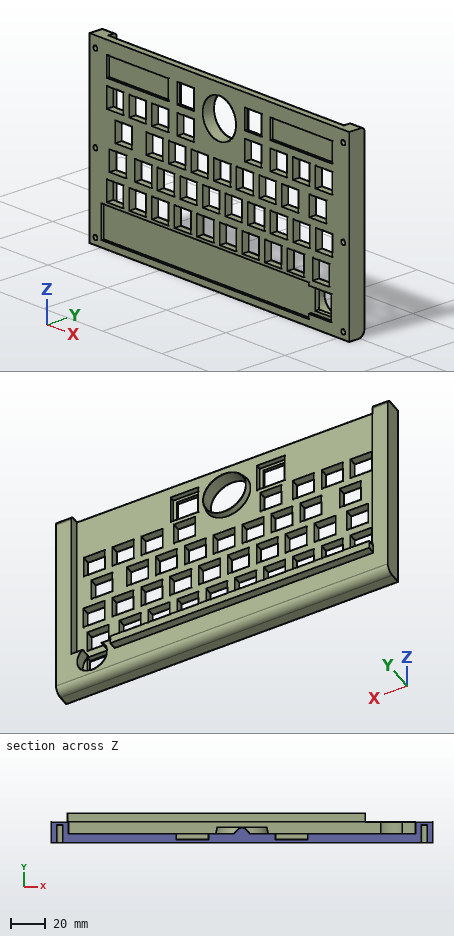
import cadquery as cq


CASE_WIDTH = 219.2
CASE_HEIGHT = 129.0
CASE_DEPTH = 12.0
TOP_ROUNDING = 2.6
BOTTOM_ROUNDING = 5.0

PLATE_THICKNESS = 5.3
SIDE_WALL = 10.0
POCKET_FLOOR_Z = 24.8

RIDGE_LEFT = -100.2
RIDGE_RIGHT = 70.8
RIDGE_BOTTOM = 17.0
RIDGE_HEIGHT = 5.3
RIDGE_PROJECTION = 5.0

KEY_PITCH = 19.0
KEY_SIZE = 14.0
WIDE_STEP = 21.5
BOTTOM_ROW_Z = 17.0
TOP_ROW = 5
OUTER_KEY_X = 88.1
LAST_KEY_X = 85.7
LONG_RUN = 9
ROW_2_LEFT_X = -85.7
ROW_3_LEFT_X = -81.0
ROW_3_RUN_START_X = -54.8
ROW_3_RUN = 7
ROW_3_RIGHT_X = 83.0

WINDOW_KEYS = 3
WINDOW_DEPTH = 2.0
TOP_KEY_SEAT = 2.0
TOP_KEY_RELIEF = 18.5

RECESS_DEPTH = 2.0
RECESS_LEFT = -99.5
RECESS_BOTTOM = 4.5
RECESS_TOP = 27.2
RECESS_STEP_X = 75.5
RECESS_END_BOTTOM = 8.0
RECESS_END_TOP = 25.2
RECESS_RIGHT = 94.5
LAST_KEY_RELIEF_DIAMETER = 19.7

BALL_Z = 106.8
BALL_HOLE_DIAMETER = 28.0
COLLAR_BASE_DIAMETER = 30.0
COLLAR_RIM_DIAMETER = 28.5
COLLAR_REAR = 9.0

SCREW_DIAMETER = 3.3
SCREW_DEPTH = 10.0
SCREW_X = 104.5
SCREW_HEIGHTS = (4.8, 59.8, 121.0)


def row_z(row):
    """Height of the key centres of a row."""
    return BOTTOM_ROW_Z + row * KEY_PITCH


def key_run(start, count):
    """X positions of evenly spaced keys."""
    return [start + i * KEY_PITCH for i in range(count)]


def block(left, right, bottom, top, front, rear):
    """Box between two limits on each axis."""
    box = cq.Workplane("XY").box(right - left, rear - front, top - bottom, centered=False)
    return box.translate((left, front, bottom))


def rectangles(points, width, height, front, rear):
    """Bars along Y with a rectangular section, centred on (x, z) points."""
    plane = cq.Workplane("XZ", origin=(0, front, 0))
    return plane.pushPoints(points).rect(width, height).extrude(front - rear)


def cylinders(points, diameter, front, rear):
    """Cylinders along Y, centred on (x, z) points."""
    plane = cq.Workplane("XZ", origin=(0, front, 0))
    return plane.pushPoints(points).circle(diameter / 2).extrude(front - rear)


def make_case():
    """Rounded case with its rear pocket and ridge."""
    half_width = CASE_WIDTH / 2
    pocket_side = half_width - SIDE_WALL
    case = block(-half_width, half_width, 0, CASE_HEIGHT, 0, CASE_DEPTH)
    case = case.edges(">Y and >Z").fillet(TOP_ROUNDING)
    case = case.edges(">Y and <Z").fillet(BOTTOM_ROUNDING)
    pocket = block(-pocket_side, pocket_side, POCKET_FLOOR_Z, CASE_HEIGHT, PLATE_THICKNESS, CASE_DEPTH)
    ridge_top = RIDGE_BOTTOM + RIDGE_HEIGHT
    ridge_rear = CASE_DEPTH + RIDGE_PROJECTION
    ridge = block(RIDGE_LEFT, RIDGE_RIGHT, RIDGE_BOTTOM, ridge_top, PLATE_THICKNESS, ridge_rear)
    return case.cut(pocket).union(ridge)


def add_trackball_opening(case):
    """Tapered collar and the round hole through it."""
    collar = (
        cq.Workplane("XZ", origin=(0, PLATE_THICKNESS, BALL_Z))
        .circle(COLLAR_BASE_DIAMETER / 2)
        .workplane(offset=PLATE_THICKNESS - COLLAR_REAR)
        .circle(COLLAR_RIM_DIAMETER / 2)
        .loft()
    )
    hole = cylinders([(0, BALL_Z)], BALL_HOLE_DIAMETER, 0, COLLAR_REAR)
    return case.union(collar).cut(hole)


def cut_plain_keys(case):
    """Square openings of every row below the top one."""
    left_keys = key_run(-OUTER_KEY_X, WINDOW_KEYS) + [-ball_key_x]
    rows = [
        [LAST_KEY_X],
        key_run(-OUTER_KEY_X, LONG_RUN) + [LAST_KEY_X],
        [ROW_2_LEFT_X] + key_run(ROW_2_LEFT_X + WIDE_STEP, LONG_RUN),
        [ROW_3_LEFT_X] + key_run(ROW_3_RUN_START_X, ROW_3_RUN) + [ROW_3_RIGHT_X],
        left_keys + [-x for x in left_keys],
    ]
    centres = [(x, row_z(row)) for row, xs in enumerate(rows) for x in xs]
    return case.cut(rectangles(centres, KEY_SIZE, KEY_SIZE, 0, PLATE_THICKNESS))


def cut_top_row(case):
    """Blind windows and the relieved key openings beside the trackball."""
    z = row_z(TOP_ROW)
    window_span = (WINDOW_KEYS - 1) * KEY_PITCH
    window_x = OUTER_KEY_X - window_span / 2
    windows = [(-window_x, z), (window_x, z)]
    keys = [(-ball_key_x, z), (ball_key_x, z)]
    case = case.cut(rectangles(windows, window_span + KEY_SIZE, KEY_SIZE, 0, WINDOW_DEPTH))
    case = case.cut(rectangles(keys, KEY_SIZE, KEY_SIZE, 0, TOP_KEY_SEAT))
    return case.cut(rectangles(keys, TOP_KEY_RELIEF, TOP_KEY_RELIEF, TOP_KEY_SEAT, PLATE_THICKNESS))


def cut_bottom_recess(case):
    """Stepped front recess, and the round relief behind the key at its end."""
    main = block(RECESS_LEFT, RECESS_STEP_X, RECESS_BOTTOM, RECESS_TOP, 0, RECESS_DEPTH)
    end = block(RECESS_STEP_X, RECESS_RIGHT, RECESS_END_BOTTOM, RECESS_END_TOP, 0, RECESS_DEPTH)
    last_key = [(LAST_KEY_X, row_z(0))]
    relief = cylinders(last_key, LAST_KEY_RELIEF_DIAMETER, PLATE_THICKNESS, CASE_DEPTH)
    return case.cut(main).cut(end).cut(relief)


def cut_screw_holes(case):
    """Blind holes in the front face, along both sides."""
    centres = [(x, z) for x in (-SCREW_X, SCREW_X) for z in SCREW_HEIGHTS]
    return case.cut(cylinders(centres, SCREW_DIAMETER, 0, SCREW_DEPTH))


ball_key_x = OUTER_KEY_X - (WINDOW_KEYS - 1) * KEY_PITCH - WIDE_STEP

result = make_case()
result = add_trackball_opening(result)
result = cut_plain_keys(result)
result = cut_top_row(result)
result = cut_bottom_recess(result)
result = cut_screw_holes(result)